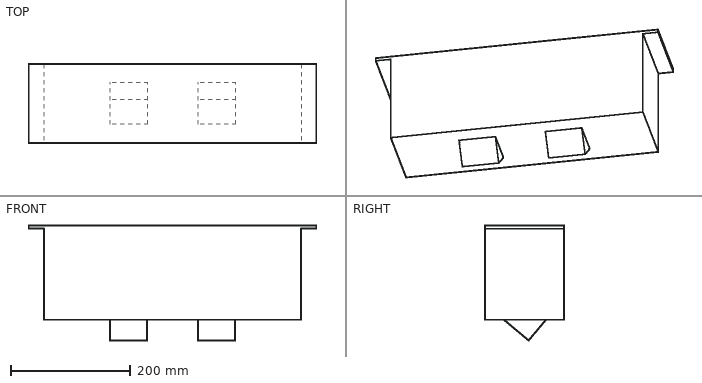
import math

import cadquery as cq

flange_length = 483.18
depth = 133.35
flange_thickness = 5.56

body_length = 431.8
overall_height = 193.32
body_bottom_depth = 158.75

wedge_length = 62.3
wedge_spacing = 147.8
wedge_drop = overall_height - body_bottom_depth
wedge_ridge_y = 6.9
wedge_front_angle = math.radians(40)
wedge_front_run = wedge_drop / math.tan(wedge_front_angle)
wedge_back_run = wedge_drop * math.tan(wedge_front_angle)


def make_plate(length, thickness):
    """Full-depth block whose top face lies at Z = 0."""
    block = cq.Workplane("XY").box(length, depth, thickness)
    return block.translate((0, 0, -thickness / 2))


def make_wedge(center_x):
    """Triangular prism along X, hanging from the body underside with its ridge down."""
    profile = [
        (wedge_ridge_y - wedge_front_run, -body_bottom_depth),
        (wedge_ridge_y, -overall_height),
        (wedge_ridge_y + wedge_back_run, -body_bottom_depth),
    ]
    return (
        cq.Workplane("YZ")
        .workplane(offset=center_x - wedge_length / 2)
        .polyline(profile)
        .close()
        .extrude(wedge_length)
    )


flange = make_plate(flange_length, flange_thickness)
body = make_plate(body_length, body_bottom_depth)

result = flange.union(body)
for side in (-1, 1):
    result = result.union(make_wedge(side * wedge_spacing / 2))